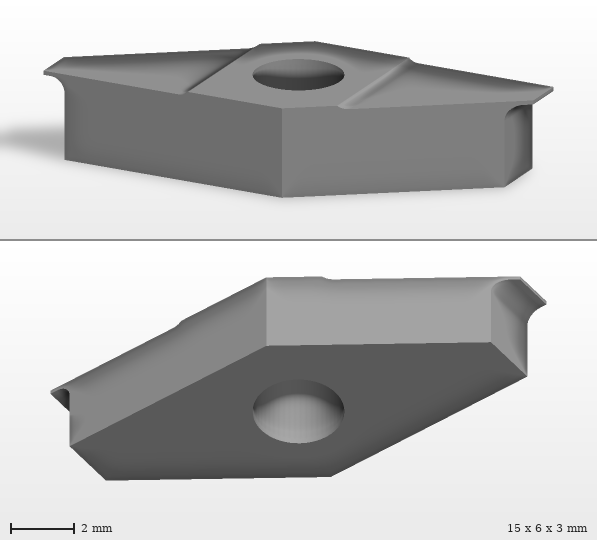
import cadquery as cq
import math

length = 15.0
width = 6.0
height = 3.0
tip_width = 1.41
flank_angle = 35.0
hole_diameter = 2.9
recess_depth = 0.14
land_half_length = 2.38
recess_radius = 0.44
lip_thickness = 0.14
lip_overhang = 0.75
lip_radius = 0.5

half_length = length / 2
half_width = width / 2
flank_length = (width - tip_width) / math.tan(math.radians(flank_angle))
recess_floor = height - recess_depth
lip_bottom = recess_floor - lip_thickness
wall_x = half_length - lip_overhang


def plan_body():
    """Prism of the double-pointed plan outline, symmetric by a half turn."""
    half_outline = [
        (-half_length, -half_width),
        (half_length - flank_length, -half_width),
        (half_length, half_width - tip_width),
    ]
    opposite = [(-x, -y) for x, y in half_outline]
    return cq.Workplane("XY").polyline(half_outline + opposite).close().extrude(height)


def ramp_point(rise):
    """Point on the ramp arc, which starts tangent to the recess floor."""
    run = math.sqrt(2 * recess_radius * rise - rise**2)
    full_run = math.sqrt(2 * recess_radius * recess_depth - recess_depth**2)
    return land_half_length + full_run - run, recess_floor + rise


def side_profile():
    """Stepped XZ profile with the raised land and undercut lips, through the full width."""
    arc_inset = lip_radius * (1 - math.sqrt(0.5))
    half = (
        cq.Workplane("XZ")
        .lineTo(wall_x, 0)
        .lineTo(wall_x, lip_bottom - lip_radius)
        .threePointArc(
            (wall_x + arc_inset, lip_bottom - arc_inset),
            (wall_x + lip_radius, lip_bottom),
        )
        .lineTo(half_length, lip_bottom)
        .lineTo(half_length, recess_floor)
        .lineTo(*ramp_point(0))
        .threePointArc(ramp_point(recess_depth / 4), ramp_point(recess_depth))
        .lineTo(0, height)
        .close()
        .extrude(half_width, both=True)
    )
    return half.union(half.mirror("YZ"))


def hole():
    return cq.Workplane("XY").circle(hole_diameter / 2).extrude(height)


result = plan_body().intersect(side_profile()).cut(hole())